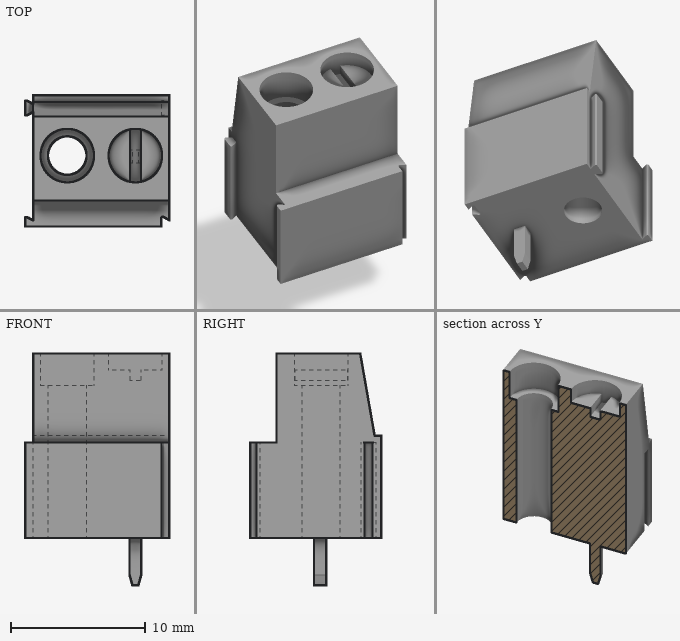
import cadquery as cq

body_width = 10.15
body_depth = 9.8
total_height = 17.3
body_bottom = 3.53
front_step_height = 10.67
back_step_height = 11.18
front_step_y = 1.95
slope_bottom_y = 9.29
slope_top_y = 8.22

lug_reach = 0.6
hook_tip_y = 0.8
hook_root_y = 0.47
dovetail_y = 8.84
dovetail_tip_width = 1.26
dovetail_root_width = dovetail_tip_width - 2 * (hook_tip_y - hook_root_y)
lug_corner_radius = 0.1

hole_y = 5.3
left_hole_x = body_width / 4
right_hole_x = 3 * body_width / 4
hole_diameter = 4.0
through_diameter = 2.85
left_hole_depth = 2.4
right_hole_depth = 1.23
screw_slot_width = 0.81
screw_slot_depth = 0.8

pin_x = right_hole_x
pin_y = 5.22
pin_width = 0.9
pin_depth = 0.93
pin_tip_width = 0.45
pin_tip_height = 0.8

lug_height = front_step_height - body_bottom


def make_body():
    """Side profile of the housing, extruded along X."""
    profile = [
        (0, body_bottom),
        (0, front_step_height),
        (front_step_y, front_step_height),
        (front_step_y, total_height),
        (slope_top_y, total_height),
        (slope_bottom_y, back_step_height),
        (body_depth, back_step_height),
        (body_depth, body_bottom),
    ]
    return cq.Workplane("YZ").polyline(profile).close().extrude(body_width)


def extrude_side_profile(outline):
    """Extrude an XY outline from the body bottom up to the front step."""
    return cq.Workplane("XY", origin=(0, 0, body_bottom)).polyline(outline).close().extrude(lug_height)


def make_hook(face_x):
    """Half dovetail at the front corner, reaching left from the given X."""
    tip_x = face_x - lug_reach
    outline = [(face_x, 0), (tip_x, 0), (tip_x, hook_tip_y), (face_x, hook_root_y)]
    hook = extrude_side_profile(outline)
    return round_tip(hook, tip_x, [hook_tip_y])


def make_dovetail(face_x):
    """Full dovetail near the back, reaching left from the given X."""
    tip_x = face_x - lug_reach
    tip_ys = [dovetail_y - dovetail_tip_width / 2, dovetail_y + dovetail_tip_width / 2]
    root_ys = [dovetail_y - dovetail_root_width / 2, dovetail_y + dovetail_root_width / 2]
    outline = [(face_x, root_ys[0]), (tip_x, tip_ys[0]), (tip_x, tip_ys[1]), (face_x, root_ys[1])]
    return round_tip(extrude_side_profile(outline), tip_x, tip_ys)


def round_tip(lug, tip_x, corner_ys):
    """Round the vertical lug edges at the given tip corners."""
    middle_z = body_bottom + lug_height / 2
    for corner_y in corner_ys:
        corner = cq.selectors.NearestToPointSelector((tip_x, corner_y, middle_z))
        lug = lug.edges("|Z").edges(corner).fillet(lug_corner_radius)
    return lug


def make_hole(x, diameter, depth):
    """Vertical cylinder reaching down from the top face."""
    return cq.Workplane("XY", origin=(x, hole_y, total_height)).circle(diameter / 2).extrude(-depth)


def make_screw_slot():
    """Screwdriver slot across the floor of the right hole."""
    depth = right_hole_depth + screw_slot_depth
    strip = cq.Workplane("XY", origin=(right_hole_x, hole_y, total_height))
    strip = strip.rect(screw_slot_width, hole_diameter).extrude(-depth)
    return strip.intersect(make_hole(right_hole_x, hole_diameter, depth))


def make_pin():
    """Rectangular pin whose tip narrows in X only."""
    half_width = pin_width / 2
    half_tip = pin_tip_width / 2
    outline = [
        (-half_tip, 0),
        (half_tip, 0),
        (half_width, pin_tip_height),
        (half_width, body_bottom),
        (-half_width, body_bottom),
        (-half_width, pin_tip_height),
    ]
    plane = cq.Workplane("XZ", origin=(pin_x, pin_y, 0))
    return plane.polyline(outline).close().extrude(pin_depth / 2, both=True)


result = make_body()

for make_lug in (make_hook, make_dovetail):
    result = result.cut(make_lug(body_width)).union(make_lug(0))

result = result.cut(make_hole(left_hole_x, hole_diameter, left_hole_depth))
result = result.cut(make_hole(left_hole_x, through_diameter, total_height - body_bottom))
result = result.cut(make_hole(right_hole_x, hole_diameter, right_hole_depth))
result = result.cut(make_screw_slot())
result = result.union(make_pin())